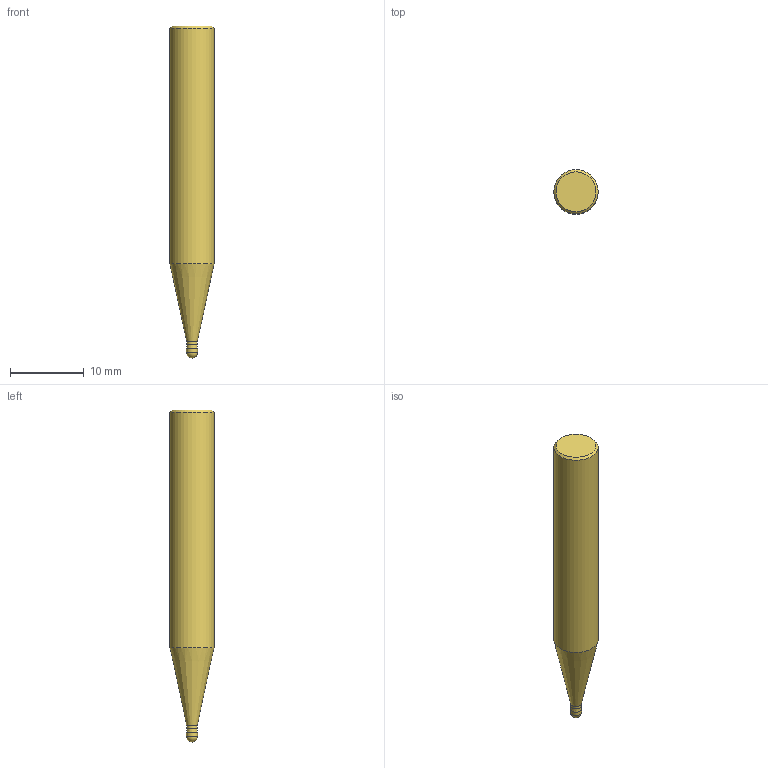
import cadquery as cq
import math

overall_length = 45.0
shank_radius = 3.0
chamfer = 0.3

cone_top = 12.8
cone_bottom = 2.2

neck_radius = 0.71
flare_top = 1.8

head_radius = 0.75
head_top = 1.3


def revolve_about_z(profile):
    """Turn a closed half profile in the XZ plane into a solid around Z."""
    return profile.revolve(360, (0, 0, 0), (0, 1, 0))


def make_shank():
    """Shank with its cone and neck, resting flat on top of the cutting head."""
    profile = (
        cq.Workplane("XZ")
        .moveTo(0, head_top)
        .lineTo(head_radius, head_top)
        .lineTo(neck_radius, flare_top)
        .lineTo(neck_radius, cone_bottom)
        .lineTo(shank_radius, cone_top)
        .lineTo(shank_radius, overall_length - chamfer)
        .lineTo(shank_radius - chamfer, overall_length)
        .lineTo(0, overall_length)
        .close()
    )
    return revolve_about_z(profile)


def make_cutting_head():
    """Ball-nosed head whose tip touches Z = 0."""
    arc_offset = head_radius * math.sqrt(0.5)
    arc_middle = (arc_offset, head_radius - arc_offset)
    profile = (
        cq.Workplane("XZ")
        .moveTo(0, 0)
        .threePointArc(arc_middle, (head_radius, head_radius))
        .lineTo(head_radius, head_top)
        .lineTo(0, head_top)
        .close()
    )
    return revolve_about_z(profile)


shank = make_shank()
cutting_head = make_cutting_head()

result = cq.Compound.makeCompound([shank.val(), cutting_head.val()])